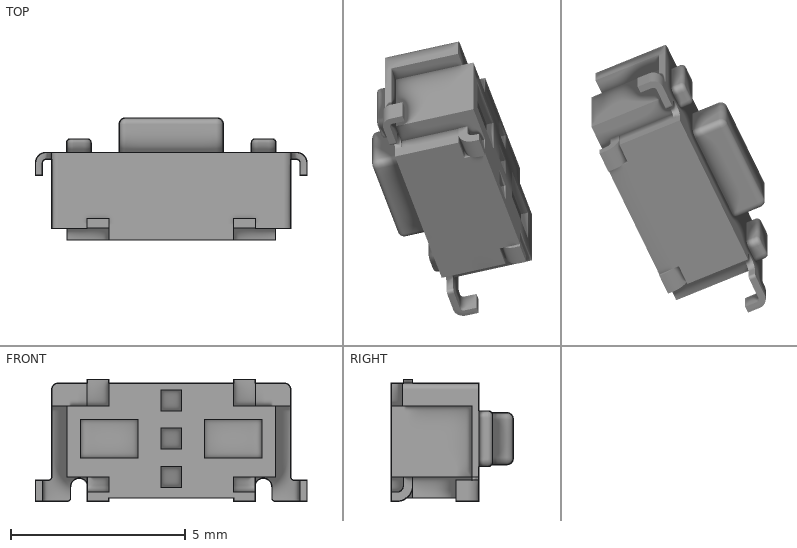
import cadquery as cq


sheet = 0.2
cover_width = 6.87
cover_front = 2.52
plate_rear = cover_front - sheet
cover_rear = 0.33
cover_skirt_z = 2.745
cover_top_z = 3.4
cover_round = 0.195

base_width = 5.99
base_bottom_z = 0.09
shoulder_z = 0.7
center_width = 3.59
lower_block_width = 4.805

clip_width = 0.625
clip_thickness = 0.265
clip_front = 0.62
clip_rear = clip_front - clip_thickness
clip_top_z = 3.5
clip_bend = 0.19
clip_x = (center_width + clip_width) / 2

overall_width = 7.8
foot_height = 0.61
foot_rear = 1.86
foot_bend = 0.1
foot_corner_round = 0.1
notch_radius = 0.24
notch_x = lower_block_width / 2 + notch_radius
notch_top_z = 0.66

middle_z = 1.8

button_width = 2.995
button_height = 1.5
button_end = 3.51
button_corner_round = 0.195
button_end_round = 0.19
boss_x = 2.65
boss_width = 0.71
boss_height = 1.6
boss_end = 2.91
boss_corner_round = 0.195
boss_end_round = 0.12

square_size = 0.6
square_pitch = 1.1
square_depth = 0.4
window_x = 1.78
window_width = 1.65
window_height = 1.115
window_depth = 0.2


def block(width, y_range, z_range, x_center=0.0):
    """Box centered on x_center, spanning the given Y and Z ranges."""
    y0, y1 = y_range
    z0, z1 = z_range
    return (
        cq.Workplane("XY")
        .box(width, y1 - y0, z1 - z0, centered=(True, False, False))
        .translate((x_center, y0, z0))
    )


def make_base():
    """Plastic base: wide middle, full-height center and narrower lower block."""
    middle = block(base_width, (0, cover_front), (shoulder_z, cover_skirt_z))
    center = block(center_width, (0, cover_front), (base_bottom_z, cover_top_z))
    lower = block(lower_block_width, (clip_front, cover_front), (base_bottom_z, shoulder_z))
    return middle.union(center).union(lower)


def make_cover():
    """Cover top with rounded long edges, and the front plate hanging from it."""
    top = block(cover_width, (cover_rear, cover_front), (cover_skirt_z, cover_top_z))
    top = top.edges("|Y and >Z").fillet(cover_round)
    plate = block(cover_width, (plate_rear, cover_front), (shoulder_z, cover_skirt_z))
    return top.union(plate)


def make_foot():
    """Right-hand foot: plate extension bent rearward at its outer end."""
    inner_x = lower_block_width / 2
    side_x = cover_width / 2
    outer_x = overall_width / 2
    strip = (
        cq.Workplane("XY")
        .moveTo(inner_x, cover_front)
        .lineTo(outer_x - sheet - foot_bend, cover_front)
        .radiusArc((outer_x, plate_rear - foot_bend), foot_bend + sheet)
        .lineTo(outer_x, foot_rear)
        .lineTo(outer_x - sheet, foot_rear)
        .lineTo(outer_x - sheet, plate_rear - foot_bend)
        .radiusArc((outer_x - sheet - foot_bend, plate_rear), -foot_bend)
        .lineTo(inner_x, plate_rear)
        .close()
        .extrude(shoulder_z)
    )
    notch_inner_x = notch_x - notch_radius
    notch_outer_x = notch_x + notch_radius
    notch_spring_z = notch_top_z - notch_radius
    outline = (
        cq.Workplane("XZ", origin=(0, cover_front, 0))
        .moveTo(notch_inner_x, shoulder_z)
        .lineTo(notch_inner_x, notch_spring_z)
        .threePointArc((notch_x, notch_top_z), (notch_outer_x, notch_spring_z))
        .lineTo(notch_outer_x, foot_corner_round)
        .radiusArc((notch_outer_x + foot_corner_round, 0), -foot_corner_round)
        .lineTo(outer_x, 0)
        .lineTo(outer_x, foot_height)
        .lineTo(side_x + foot_corner_round, foot_height)
        .radiusArc((side_x, foot_height + foot_corner_round), foot_corner_round)
        .lineTo(side_x, shoulder_z)
        .close()
        .extrude(cover_front - foot_rear)
    )
    return strip.intersect(outline)


def make_clips():
    """Right-hand pair: straight upper clip and lower clip bent into a rear solder foot."""
    upper = block(clip_width, (clip_rear, clip_front), (cover_skirt_z, clip_top_z), clip_x)
    outer_bend = clip_bend + clip_thickness
    lower = (
        cq.Workplane("YZ", origin=(clip_x - clip_width / 2, 0, 0))
        .moveTo(clip_front, shoulder_z)
        .lineTo(clip_front, outer_bend)
        .radiusArc((clip_front - outer_bend, 0), outer_bend)
        .lineTo(0, 0)
        .lineTo(0, clip_thickness)
        .lineTo(clip_rear - clip_bend, clip_thickness)
        .radiusArc((clip_rear, outer_bend), -clip_bend)
        .lineTo(clip_rear, shoulder_z)
        .close()
        .extrude(clip_width)
    )
    return upper.union(lower)


def clip_recess():
    """Shallow gap in the cover to the rear of the right-hand upper clip."""
    return block(clip_width, (cover_rear, clip_rear), (cover_skirt_z, cover_top_z), clip_x)


def rounded_post(x, width, height, end_y, corner_round, end_round):
    """Post standing on the front face, rounded along its length and around its end."""
    z_range = (middle_z - height / 2, middle_z + height / 2)
    post = block(width, (plate_rear, end_y), z_range, x)
    return post.edges("|Y").fillet(corner_round).faces(">Y").edges().fillet(end_round)


def rear_pocket(x, z, width, height, depth):
    """Rectangular pocket sunk into the rear face."""
    return block(width, (0, depth), (z - height / 2, z + height / 2), x)


def mirrored(half):
    """A right-hand feature together with its left-hand copy."""
    return half.union(half.mirror("YZ"))


body = make_base().union(make_cover()).cut(mirrored(clip_recess()))
body = body.union(mirrored(make_foot())).union(mirrored(make_clips()))

button = rounded_post(
    0, button_width, button_height, button_end, button_corner_round, button_end_round
)
boss = rounded_post(
    boss_x, boss_width, boss_height, boss_end, boss_corner_round, boss_end_round
)
body = body.union(button).union(mirrored(boss))

for row in (-1, 0, 1):
    square_z = middle_z + row * square_pitch
    body = body.cut(rear_pocket(0, square_z, square_size, square_size, square_depth))

window = rear_pocket(window_x, middle_z, window_width, window_height, window_depth)
result = body.cut(mirrored(window))